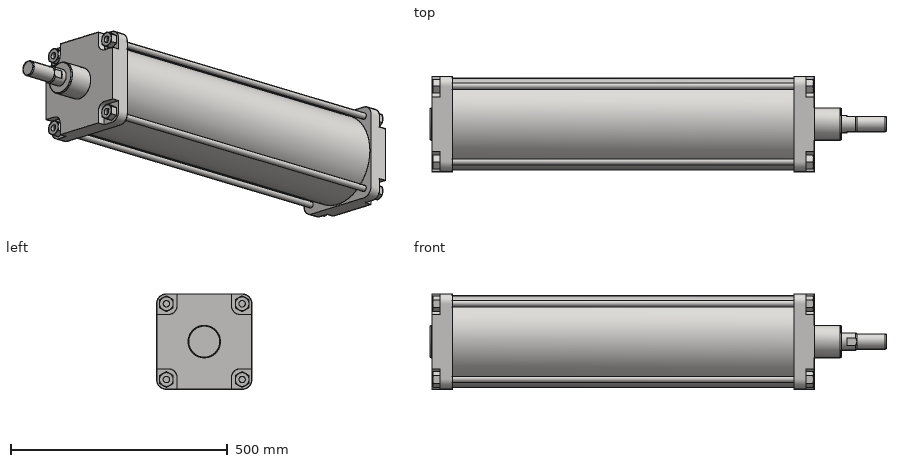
import cadquery as cq
import math


total_length = 1053.0
boss_height = 4.0
cap_thickness = 47.0
barrel_length = 788.0
neck_length = 62.0
collar_length = 13.0
flats_length = 20.0
shoulder_chamfer = 3.0

cap_side = 220.0
bolt_spacing = 175.0
corner_radius = (cap_side - bolt_spacing) / 2
pocket_side = 47.0
pocket_radius = 20.0
pocket_depth = 19.0
neck_diameter = 75.0
edge_chamfer_length = 3.0
edge_chamfer_width = 1.6

barrel_diameter = 213.0

tie_rod_diameter = 15.0
tie_rod_recess = 8.0
nut_across_flats = 32.0
nut_height = 17.0
nut_corner_diameter = nut_across_flats / math.cos(math.radians(30))
nut_chamfer_slope = math.tan(math.radians(30))

rod_diameter = 40.0
thread_diameter = 36.0
rod_across_flats = 36.0

rear_face = boss_height
barrel_start = rear_face + cap_thickness
barrel_end = barrel_start + barrel_length
front_face = barrel_end + cap_thickness
neck_end = front_face + neck_length
flats_start = neck_end + collar_length
shoulder_end = flats_start + flats_length + shoulder_chamfer

bolt_places = [(sy * bolt_spacing / 2, sz * bolt_spacing / 2) for sy in (-1, 1) for sz in (-1, 1)]


def section_at(x):
    """Workplane across the cylinder at x, with local axes Y and Z and normal +X."""
    return cq.Workplane("YZ", origin=(x, 0, 0))


def bevel_end(cylinder, outward):
    """Chamfer the end of a cylinder that faces along outward, the sign of X."""
    end_face = ">X" if outward > 0 else "<X"
    return cylinder.faces(end_face).chamfer(edge_chamfer_length, edge_chamfer_width)


def make_cap(inner_x, outward, boss_length):
    """End cap whose inner face is at inner_x; outward is the sign of X away from the barrel."""
    outer_x = inner_x + outward * cap_thickness
    cap = section_at(inner_x).rect(cap_side, cap_side).extrude(outward * cap_thickness)
    cap = cap.edges("|X").fillet(corner_radius)

    boss = section_at(outer_x).circle(neck_diameter / 2).extrude(outward * boss_length)
    boss = bevel_end(boss, outward)
    cap = cap.union(boss)

    pockets = (
        section_at(outer_x)
        .rect(cap_side, cap_side, forConstruction=True)
        .vertices()
        .rect(2 * pocket_side, 2 * pocket_side)
        .extrude(-outward * pocket_depth)
        .edges("|X")
        .fillet(pocket_radius)
    )
    bolt_holes = (
        section_at(inner_x)
        .pushPoints(bolt_places)
        .circle(tie_rod_diameter / 2)
        .extrude(outward * cap_thickness)
    )
    return cap.cut(pockets).cut(bolt_holes)


def make_rear_cap():
    return make_cap(barrel_start, -1, boss_height)


def make_front_cap():
    rod_bore = section_at(barrel_end).circle(rod_diameter / 2).extrude(cap_thickness + neck_length)
    return make_cap(barrel_end, 1, neck_length).cut(rod_bore)


def make_barrel():
    return section_at(barrel_start).circle(barrel_diameter / 2).extrude(barrel_length)


def make_nut(seat_x, outward):
    """Hexagon nut on the X axis, corners along Z, with chamfered outer corners and a tie rod bore."""
    hexagon = (
        section_at(seat_x)
        .polygon(6, nut_corner_diameter)
        .extrude(outward * nut_height)
        .rotate((0, 0, 0), (1, 0, 0), 90)
    )
    tip_radius = nut_corner_diameter / 2
    flat_radius = nut_across_flats / 2
    chamfer_drop = (tip_radius - flat_radius) * nut_chamfer_slope
    face_x = seat_x + outward * nut_height
    envelope = (
        cq.Workplane("XY")
        .moveTo(seat_x, 0)
        .lineTo(seat_x, tip_radius)
        .lineTo(face_x - outward * chamfer_drop, tip_radius)
        .lineTo(face_x, flat_radius)
        .lineTo(face_x, 0)
        .close()
        .revolve(360, (0, 0, 0), (1, 0, 0))
    )
    bore = section_at(seat_x).circle(tie_rod_diameter / 2).extrude(outward * nut_height)
    return hexagon.intersect(envelope).cut(bore)


def make_tie_rod(y, z):
    """Tie rod ending inside a nut seated in the pocket of each cap."""
    rear_seat = rear_face + pocket_depth
    front_seat = front_face - pocket_depth
    overhang = nut_height - tie_rod_recess
    rod = (
        section_at(rear_seat - overhang)
        .circle(tie_rod_diameter / 2)
        .extrude(front_seat - rear_seat + 2 * overhang)
    )
    rod = rod.union(make_nut(rear_seat, -1)).union(make_nut(front_seat, 1))
    return rod.translate((0, y, z))


def make_piston_rod():
    """Rod through the front cap, with wrench flats on its Y sides and a threaded end."""
    shank = section_at(barrel_end).circle(rod_diameter / 2).extrude(shoulder_end - barrel_end)
    shank = shank.faces(">X").chamfer(shoulder_chamfer, (rod_diameter - thread_diameter) / 2)
    flats = (
        section_at(flats_start)
        .rect(2 * rod_diameter, 2 * rod_diameter)
        .rect(rod_across_flats, 2 * rod_diameter)
        .extrude(shoulder_end - flats_start)
    )
    thread = section_at(flats_start).circle(thread_diameter / 2).extrude(total_length - flats_start)
    thread = bevel_end(thread, 1)
    return shank.cut(flats).union(thread)


rear_cap = make_rear_cap()
front_cap = make_front_cap()
barrel = make_barrel()
tie_rods = [make_tie_rod(y, z) for y, z in bolt_places]
piston_rod = make_piston_rod()

result = cq.Compound.makeCompound([
    rear_cap.val(),
    front_cap.val(),
    barrel.val(),
    *[tie_rod.val() for tie_rod in tie_rods],
    piston_rod.val(),
])